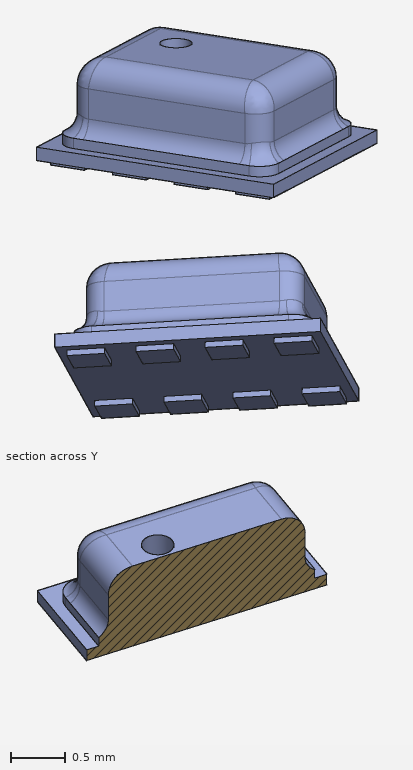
import cadquery as cq
import math

substrate_length = 2.5
substrate_width = 2.0
substrate_thickness = 0.13
pad_size = 0.355
pad_thickness = 0.055
pad_columns = 4
pad_rows = 2
pad_pitch = 0.65
pad_row_spacing = 1.45

overall_height = 1.0
can_length = 2.05
can_width = 1.55
flange_overhang = 0.1
flange_thickness = 0.1
corner_radius = 0.2
top_fillet = 0.25

cove_radius = 0.2
cove_overlap = 0.1
sections_per_patch = 5

vent_diameter = 0.3
vent_depth = 0.3
vent_x = -0.42
vent_y = 0.175

substrate_top = pad_thickness + substrate_thickness
flange_top = substrate_top + flange_thickness
flange_length = can_length + 2 * flange_overhang
flange_width = can_width + 2 * flange_overhang
corner_x = can_length / 2 - corner_radius
corner_y = can_width / 2 - corner_radius

flange_arc_start = math.atan2(flange_overhang, corner_radius + flange_overhang)
right_angle = math.pi / 2


def rounded_block(length, width, bottom, top):
    """Upright block centred on Z with rounded vertical corners."""
    block = cq.Workplane("XY").workplane(offset=bottom).rect(length, width).extrude(top - bottom)
    return block.edges("|Z").fillet(corner_radius)


def make_substrate():
    base = cq.Workplane("XY").workplane(offset=pad_thickness)
    base = base.rect(substrate_length, substrate_width).extrude(substrate_thickness)
    pads = (
        cq.Workplane("XY")
        .rarray(pad_pitch, pad_row_spacing, pad_columns, pad_rows)
        .rect(pad_size, pad_size)
        .extrude(pad_thickness)
    )
    return base.union(pads)


def make_can():
    can = rounded_block(can_length, can_width, substrate_top, overall_height)
    return can.faces(">Z").edges().fillet(top_fillet)


def flange_reach(angle):
    """Distance from the can's corner axis to the flange outline, at an angle within the corner."""
    if min(angle, right_angle - angle) <= flange_arc_start:
        return (corner_radius + flange_overhang) / max(math.cos(angle), math.sin(angle))
    along = flange_overhang * (math.cos(angle) + math.sin(angle))
    return along + math.sqrt(along**2 - 2 * flange_overhang**2 + corner_radius**2)


def cove_contact_height(angle):
    """Height where a cove that passes through the flange's top edge touches the can wall."""
    gap = corner_radius + cove_radius - flange_reach(angle)
    return flange_top + math.sqrt(cove_radius**2 - gap**2)


def cove_section(angle):
    """Radial cove profile at an angle about the corner axis; it overshoots the flange outline."""
    plane = cq.Plane(
        origin=(corner_x, corner_y, 0),
        xDir=(math.cos(angle), math.sin(angle), 0),
        normal=(math.sin(angle), -math.cos(angle), 0),
    )
    contact = cove_contact_height(angle)
    inner = corner_radius - cove_overlap
    outer = corner_radius + cove_radius
    arc_offset = cove_radius * math.sqrt(0.5)
    return (
        cq.Workplane(plane)
        .moveTo(inner, substrate_top)
        .lineTo(inner, contact)
        .lineTo(corner_radius, contact)
        .threePointArc((outer - arc_offset, contact - arc_offset), (outer, contact - cove_radius))
        .lineTo(outer, substrate_top)
        .close()
    )


def corner_patch(start, end):
    step = (end - start) / (sections_per_patch - 1)
    wires = [cove_section(start + i * step).wires().val() for i in range(sections_per_patch)]
    return cq.Workplane(obj=cq.Solid.makeLoft(wires))


def make_quarter_cove():
    """Cove along one corner and the half sides next to it."""
    splits = [0, flange_arc_start, right_angle - flange_arc_start, right_angle]
    quarter = cove_section(0).extrude(corner_y)
    quarter = quarter.union(cove_section(right_angle).extrude(-corner_x))
    for start, end in zip(splits, splits[1:]):
        quarter = quarter.union(corner_patch(start, end))
    return quarter


def make_cove():
    quarter = make_quarter_cove()
    half = quarter.union(quarter.mirror("YZ"))
    ring = half.union(half.mirror("XZ"))
    return ring.intersect(rounded_block(flange_length, flange_width, substrate_top, overall_height))


def make_vent():
    vent = cq.Workplane("XY").workplane(offset=overall_height - vent_depth)
    return vent.center(vent_x, vent_y).circle(vent_diameter / 2).extrude(vent_depth)


result = make_substrate().union(make_can()).union(make_cove()).cut(make_vent())